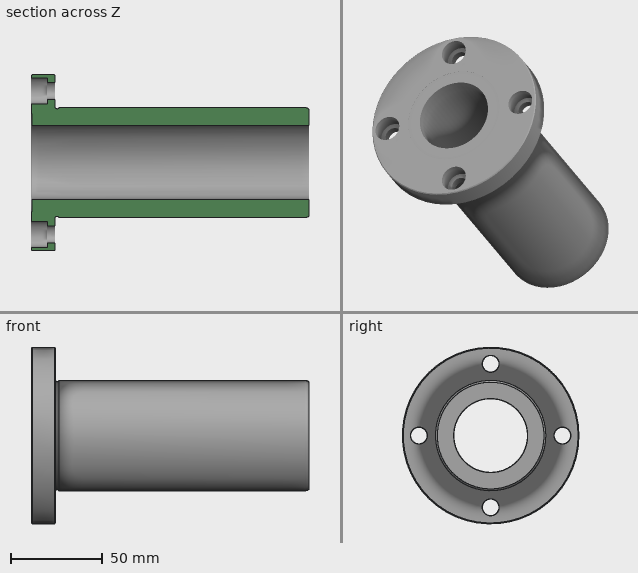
import cadquery as cq
import math

total_length = 151.0
bore_diameter = 40.0
body_diameter = 60.0
flange_diameter = 96.0
flange_thickness = 13.0

flange_chamfer = 0.5
end_rounding_radius = 2.5
end_rounding_length = 2.0

relief_width = 2.0
relief_depth = 0.6

seal_diameter = 53.4
seal_recess_depth = 0.1

bolt_count = 4
bolt_circle_diameter = 78.0
bolt_hole_diameter = 9.0
counterbore_diameter = 14.0
counterbore_depth = 8.6


def cylinder(diameter, length):
    """Solid cylinder along +X from the flange face."""
    return cq.Workplane("YZ").circle(diameter / 2).extrude(length)


def make_flange():
    """Round flange with both rims chamfered."""
    return cylinder(flange_diameter, flange_thickness).edges().chamfer(flange_chamfer)


def make_body():
    """Round sleeve; an arc tangent to its side curves inward to an edge at the free end."""
    body_radius = body_diameter / 2
    arc_start_x = total_length - end_rounding_length
    arc_centre_radius = body_radius - end_rounding_radius
    sweep = math.asin(end_rounding_length / end_rounding_radius)

    def arc_point(angle):
        x = arc_start_x + end_rounding_radius * math.sin(angle)
        return (x, arc_centre_radius + end_rounding_radius * math.cos(angle))

    return (
        cq.Workplane("XY")
        .lineTo(0, body_radius)
        .lineTo(arc_start_x, body_radius)
        .threePointArc(arc_point(sweep / 2), arc_point(sweep))
        .lineTo(total_length, 0)
        .close()
        .revolve(360, (0, 0, 0), (1, 0, 0))
    )


def make_relief_groove():
    """Ring of shallow arc section removed from the body, starting at the flange."""
    body_radius = body_diameter / 2
    groove_middle = (flange_thickness + relief_width / 2, body_radius - relief_depth)
    groove_end = (flange_thickness + relief_width, body_radius)
    return (
        cq.Workplane("XY")
        .moveTo(flange_thickness, body_radius)
        .threePointArc(groove_middle, groove_end)
        .close()
        .revolve(360, (0, 0, 0), (1, 0, 0))
    )


def make_bolt_holes():
    """Counterbored holes on the bolt circle, entered from the flange face."""
    bolt_hole = cylinder(bolt_hole_diameter, flange_thickness)
    hole = bolt_hole.union(cylinder(counterbore_diameter, counterbore_depth))
    first_hole = hole.translate((0, bolt_circle_diameter / 2, 0))
    holes = cq.Workplane("YZ")
    for index in range(bolt_count):
        holes = holes.add(first_hole.rotate((0, 0, 0), (1, 0, 0), index * 360 / bolt_count))
    return holes.combine()


result = (
    make_flange()
    .union(make_body())
    .cut(make_relief_groove())
    .cut(cylinder(bore_diameter, total_length))
    .cut(cylinder(seal_diameter, seal_recess_depth))
    .cut(make_bolt_holes())
)